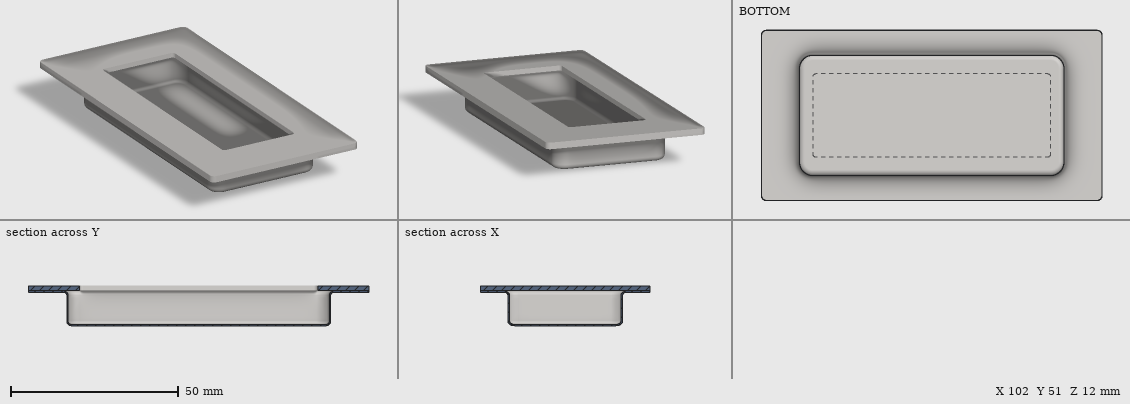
import cadquery as cq

length = 102.0
width = 51.0
outline_radius = 1.5
total_height = 12.0

plate_thickness = 1.5
opening_length = 71.2
opening_width = 25.0
opening_radius = 1.0

sheet = 0.5
tray_length = 79.2
tray_width = 36.0
tray_corner_radius = 4.0
floor_radius = 1.5
flare_radius = 0.8

tray_height = total_height - plate_thickness
flange_bottom = tray_height - sheet


def rounded_block(size_x, size_y, height, corner_radius, bottom):
    """Block centred on the Z axis with rounded vertical edges."""
    return (
        cq.Workplane("XY", origin=(0, 0, bottom))
        .rect(size_x, size_y)
        .extrude(height)
        .edges("|Z")
        .fillet(corner_radius)
    )


def make_cover_plate():
    """Flat frame whose opening is smaller than the tray cavity."""
    plate = rounded_block(length, width, plate_thickness, outline_radius, tray_height)
    opening = rounded_block(
        opening_length, opening_width, plate_thickness, opening_radius, tray_height
    )
    return plate.cut(opening)


def bend_edges_at(level):
    """Selector for the bowl's rim edges at one height, clear of the flange outline."""
    half_x = tray_length / 2 + sheet
    half_y = tray_width / 2 + sheet
    return cq.selectors.BoxSelector(
        (-half_x, -half_y, level - sheet / 2),
        (half_x, half_y, level + sheet / 2),
        boundingbox=True,
    )


def make_tray():
    """Pressed sheet tray with constant wall thickness and a flat flange."""
    flange = rounded_block(length, width, sheet, outline_radius, flange_bottom)
    bowl = rounded_block(tray_length, tray_width, flange_bottom, tray_corner_radius, 0)
    bowl = bowl.faces("<Z").edges().fillet(floor_radius)
    tray = flange.union(bowl)

    tray = tray.edges(bend_edges_at(flange_bottom)).fillet(flare_radius)

    cavity = rounded_block(
        tray_length - 2 * sheet,
        tray_width - 2 * sheet,
        tray_height - sheet,
        tray_corner_radius - sheet,
        sheet,
    )
    cavity = cavity.faces("<Z").edges().fillet(floor_radius - sheet)
    tray = tray.cut(cavity)

    return tray.edges(bend_edges_at(tray_height)).fillet(flare_radius + sheet)


cover_plate = make_cover_plate()
tray = make_tray()

result = cq.Compound.makeCompound([cover_plate.val(), tray.val()])